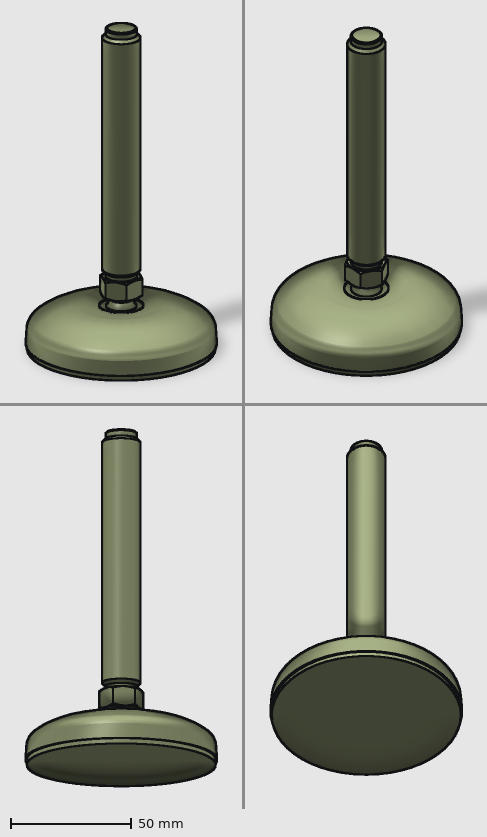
import cadquery as cq
import math

total_height = 141.7

rim_diameter = 78.5
rim_height = 2.3
skirt_bottom_diameter = 79.6
skirt_top_diameter = 78.8
skirt_top = 8.6
shoulder_diameter = 74.3
shoulder_top = 12.5
dome_flat_diameter = 35.7
dome_top = 19.0

recess_diameter = 18.4
recess_depth = 0.4

ball_diameter = 14.2
ball_center_height = 15.6
neck_diameter = 8.1

hex_across_flats = 16.0
hex_bottom = 23.5
hex_top = 31.7
hex_chamfer_angle = 30.0

rod_diameter = 16.0
core_diameter = 13.0
collar_top = 33.5
tip_length = 2.8
tip_chamfer = 0.5
rod_chamfer = (rod_diameter - core_diameter) / 2


def cylinder(diameter, bottom, top):
    """Solid cylinder on the Z axis between two heights."""
    return cq.Workplane("XY").workplane(offset=bottom).circle(diameter / 2).extrude(top - bottom)


def make_base():
    """Domed base plate with the recess around the ball."""
    base = (
        cq.Workplane("XZ")
        .moveTo(0, dome_top)
        .lineTo(dome_flat_diameter / 2, dome_top)
        .tangentArcPoint((shoulder_diameter / 2, shoulder_top), relative=False)
        .tangentArcPoint((skirt_top_diameter / 2, skirt_top), relative=False)
        .lineTo(skirt_bottom_diameter / 2, rim_height)
        .lineTo(rim_diameter / 2, rim_height)
        .lineTo(rim_diameter / 2, 0)
        .lineTo(0, 0)
        .close()
        .revolve(360, (0, 0), (0, 1))
    )
    return base.cut(cylinder(recess_diameter, dome_top - recess_depth, dome_top))


def make_ball_joint():
    """Ball seated in the base and the neck that joins it to the hexagon."""
    ball = cq.Workplane("XY").sphere(ball_diameter / 2).translate((0, 0, ball_center_height))
    return ball.union(cylinder(neck_diameter, ball_center_height, hex_bottom))


def make_hexagon():
    """Hexagon with corners on the X axis, turned to a cone at both ends."""
    across_corners = hex_across_flats / math.cos(math.pi / 6)
    corner_inset = (across_corners - hex_across_flats) / 2
    corner_drop = corner_inset * math.tan(math.radians(hex_chamfer_angle))
    prism = (
        cq.Workplane("XY")
        .workplane(offset=hex_bottom)
        .polygon(6, across_corners)
        .extrude(hex_top - hex_bottom)
    )
    outer_radius = across_corners / 2
    flat_radius = hex_across_flats / 2
    turned_blank = (
        cq.Workplane("XZ")
        .moveTo(0, hex_bottom)
        .lineTo(flat_radius, hex_bottom)
        .lineTo(outer_radius, hex_bottom + corner_drop)
        .lineTo(outer_radius, hex_top - corner_drop)
        .lineTo(flat_radius, hex_top)
        .lineTo(0, hex_top)
        .close()
        .revolve(360, (0, 0), (0, 1))
    )
    return prism.intersect(turned_blank)


def make_rod():
    """Rod with chamfered ends, a collar below it and a reduced tip above it."""
    core = cylinder(core_diameter, hex_top, total_height).faces(">Z").chamfer(tip_chamfer)
    rod = cylinder(rod_diameter, collar_top, total_height - tip_length).edges().chamfer(rod_chamfer)
    return core.union(rod)


result = make_base().union(make_ball_joint()).union(make_hexagon()).union(make_rod())